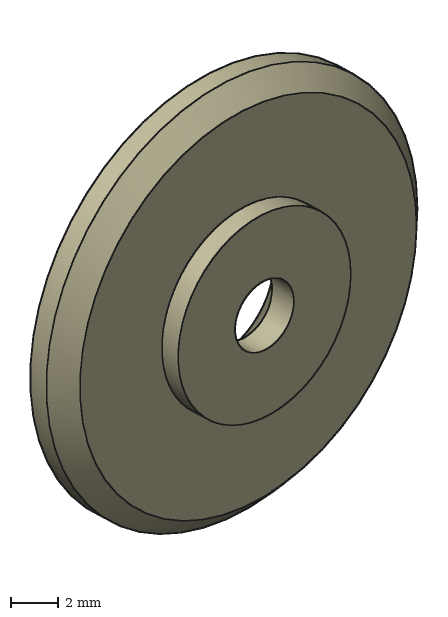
import cadquery as cq

disc_diameter = 21.5
total_thickness = 3.0
boss_diameter = 10.0
hole_diameter = 3.4

step = total_thickness / 3
disc_thickness = 2 * step

countersink_diameter = 6.73
countersink_angle = 90.0

disc = cq.Workplane("YZ").circle(disc_diameter / 2).extrude(disc_thickness)
disc = disc.faces(">X").edges().chamfer(step)

boss = cq.Workplane("YZ").circle(boss_diameter / 2).extrude(total_thickness)
body = disc.union(boss)

result = (
    body.faces("<X")
    .workplane(origin=(0, 0, 0))
    .cskHole(hole_diameter, countersink_diameter, countersink_angle)
)